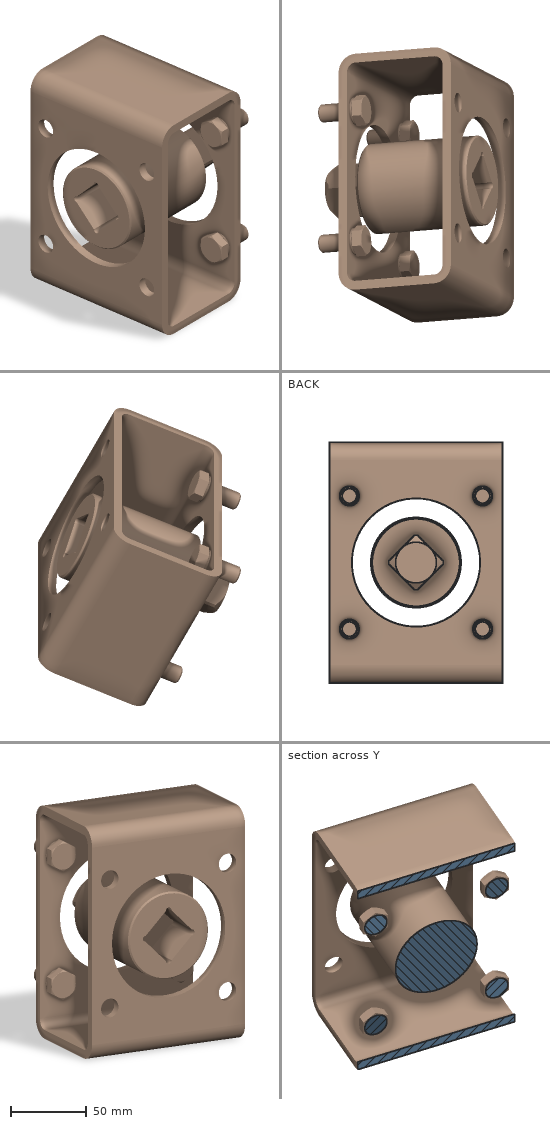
import cadquery as cq
import math

FRAME_LENGTH = 115.0
FRAME_DEPTH = 80.0
FRAME_HEIGHT = 160.0
WALL = 6.0
BEND_OUTER_RADIUS = 12.0
BEND_INNER_RADIUS = BEND_OUTER_RADIUS - WALL
SHAFT_OPENING_DIAMETER = 85.0
BOLT_HOLE_DIAMETER = 13.0
BOLT_CIRCLE_DIAMETER = 125.0
BOLT_OFFSET = BOLT_CIRCLE_DIAMETER / 2 / math.sqrt(2)
BOLT_POSITIONS = [(x, z) for x in (-BOLT_OFFSET, BOLT_OFFSET) for z in (-BOLT_OFFSET, BOLT_OFFSET)]

SHAFT_DIAMETER = 60.0
SHAFT_FRONT_Y = 0.0
SHAFT_SHOULDER_Y = 78.0
SHAFT_CHAMFER = 1.0
STUB_SQUARE = 27.0
SOCKET_SQUARE = 27.3
SOCKET_DEPTH = 30.0
SOCKET_RELIEF_RADIUS = 2.1
SOCKET_TIP_RADIUS = 19.35
SQUARE_CORNERS = 4
STUB_LENGTH = 29.0
STUB_CORNER_DIAMETER = 36.0
STUB_CHAMFER = (STUB_CORNER_DIAMETER - STUB_SQUARE) / 2

REAR_WALL_INNER_Y = FRAME_DEPTH - WALL
BOLT_DIAMETER = 12.0
BOLT_LENGTH = 25.0
BOLT_TIP_CHAMFER = 1.2
WASHER_DIAMETER = 18.0
WASHER_THICKNESS = 1.1
WASHER_CHAMFER = 0.5
HEAD_HEIGHT = 7.5
HEAD_ACROSS_FLATS = 18.0
HEAD_ACROSS_CORNERS = HEAD_ACROSS_FLATS / math.cos(math.radians(30))
HEAD_CHAMFER_ANGLE = 30.0
BEARING_FACE_DIAMETER = 16.63
BEARING_FACE_HEIGHT = 0.6


def facing_rear(y):
    """Workplane normal to +Y at the given Y; its local axes are -X and Z."""
    return cq.Workplane("XZ", origin=(0, y, 0)).transformed(rotate=(0, 180, 0))


def make_frame():
    """Round-cornered tube with shaft openings and bolt holes through both walls."""
    tube = (
        cq.Workplane("YZ", origin=(-FRAME_LENGTH / 2, FRAME_DEPTH / 2, 0))
        .rect(FRAME_DEPTH, FRAME_HEIGHT)
        .extrude(FRAME_LENGTH)
        .edges("|X")
        .fillet(BEND_OUTER_RADIUS)
    )
    cavity = (
        cq.Workplane("YZ", origin=(-FRAME_LENGTH / 2, FRAME_DEPTH / 2, 0))
        .rect(FRAME_DEPTH - 2 * WALL, FRAME_HEIGHT - 2 * WALL)
        .extrude(FRAME_LENGTH)
        .edges("|X")
        .fillet(BEND_INNER_RADIUS)
    )
    opening = facing_rear(0).circle(SHAFT_OPENING_DIAMETER / 2).extrude(FRAME_DEPTH)
    bolt_holes = (
        facing_rear(0).pushPoints(BOLT_POSITIONS).circle(BOLT_HOLE_DIAMETER / 2).extrude(FRAME_DEPTH)
    )
    return tube.cut(cavity).cut(opening).cut(bolt_holes)


def square_bar(side, y, length):
    """Square bar standing on its corner, starting at y and running toward +Y."""
    return facing_rear(y).transformed(rotate=(0, 0, 45)).rect(side, side).extrude(length)


def make_socket():
    """Square socket with a round relief in each corner."""
    reliefs = (
        facing_rear(SHAFT_FRONT_Y)
        .polarArray(SOCKET_TIP_RADIUS - SOCKET_RELIEF_RADIUS, 0, 360, SQUARE_CORNERS)
        .circle(SOCKET_RELIEF_RADIUS)
        .extrude(SOCKET_DEPTH)
    )
    return square_bar(SOCKET_SQUARE, SHAFT_FRONT_Y, SOCKET_DEPTH).union(reliefs)


def make_shaft():
    """Chamfered round body with the socket in front and the truncated square stub behind."""
    body = (
        facing_rear(SHAFT_FRONT_Y)
        .circle(SHAFT_DIAMETER / 2)
        .extrude(SHAFT_SHOULDER_Y - SHAFT_FRONT_Y)
        .faces("<Y or >Y")
        .chamfer(SHAFT_CHAMFER)
    )
    stub_envelope = (
        facing_rear(SHAFT_SHOULDER_Y)
        .circle(STUB_CORNER_DIAMETER / 2)
        .extrude(STUB_LENGTH)
        .faces(">Y")
        .chamfer(STUB_CHAMFER)
    )
    stub = square_bar(STUB_SQUARE, SHAFT_SHOULDER_Y, STUB_LENGTH).intersect(stub_envelope)
    return body.union(stub).cut(make_socket())


def make_washer(x, z):
    """Washer on the inner face of the rear wall, chamfered on its rim toward the bolt head."""
    return (
        facing_rear(REAR_WALL_INNER_Y - WASHER_THICKNESS)
        .circle(WASHER_DIAMETER / 2)
        .extrude(WASHER_THICKNESS)
        .faces("<Y")
        .chamfer(WASHER_CHAMFER)
        .faces("<Y")
        .workplane()
        .hole(BOLT_DIAMETER)
        .translate((x, 0, z))
    )


def make_head(seat_y):
    """Hex head with two corners on the Z axis and a conical chamfer on its front."""
    hexagon = (
        facing_rear(seat_y - HEAD_HEIGHT)
        .transformed(rotate=(0, 0, 90))
        .polygon(6, HEAD_ACROSS_CORNERS)
        .extrude(HEAD_HEIGHT - BEARING_FACE_HEIGHT)
    )
    chamfer_width = (HEAD_ACROSS_CORNERS - HEAD_ACROSS_FLATS) / 2
    chamfer_height = chamfer_width * math.tan(math.radians(HEAD_CHAMFER_ANGLE))
    envelope = (
        facing_rear(seat_y - HEAD_HEIGHT)
        .circle(HEAD_ACROSS_CORNERS / 2)
        .extrude(HEAD_HEIGHT)
        .faces("<Y")
        .chamfer(chamfer_height, chamfer_width)
    )
    bearing_face = (
        facing_rear(seat_y - BEARING_FACE_HEIGHT)
        .circle(BEARING_FACE_DIAMETER / 2)
        .extrude(BEARING_FACE_HEIGHT)
    )
    return hexagon.intersect(envelope).union(bearing_face)


def make_bolt(x, z):
    """Hex bolt seated on its washer, its shank running out through the rear wall."""
    seat_y = REAR_WALL_INNER_Y - WASHER_THICKNESS
    shank = (
        facing_rear(seat_y)
        .circle(BOLT_DIAMETER / 2)
        .extrude(BOLT_LENGTH)
        .faces(">Y")
        .chamfer(BOLT_TIP_CHAMFER)
    )
    return make_head(seat_y).union(shank).translate((x, 0, z))


frame = make_frame()
shaft = make_shaft()
washers = [make_washer(x, z) for x, z in BOLT_POSITIONS]
bolts = [make_bolt(x, z) for x, z in BOLT_POSITIONS]

result = cq.Compound.makeCompound(
    [frame.val(), shaft.val()] + [washer.val() for washer in washers] + [bolt.val() for bolt in bolts]
)